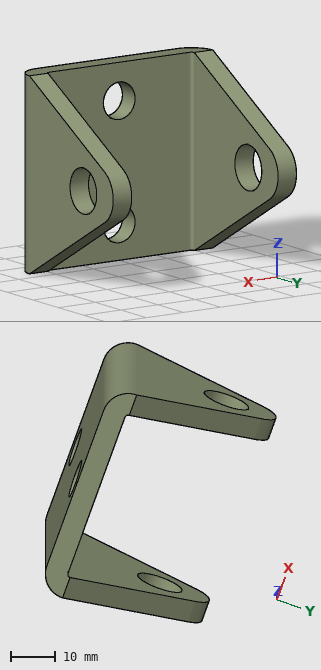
import cadquery as cq
import math

WIDTH = 49.45
DEPTH = 38.65
HEIGHT = 45.0

THICKNESS = 5.0
INNER_BEND_RADIUS = 0.75
OUTER_BEND_RADIUS = THICKNESS + INNER_BEND_RADIUS

TIP_RADIUS = 6.6
PIVOT_DIAMETER = 10.5
PIVOT_TO_TIP = 11.7

MOUNT_DIAMETER = 8.5
MOUNT_SPACING = 28.0
MOUNT_CENTER_Z = -0.25


def channel():
    """U-shaped channel, open toward +Y, with concentric inner and outer bends."""
    outer = (
        cq.Workplane("XY")
        .box(WIDTH, DEPTH, HEIGHT, centered=(True, False, True))
        .edges("|Z and <Y")
        .fillet(OUTER_BEND_RADIUS)
    )
    inner = (
        cq.Workplane("XY")
        .box(WIDTH - 2 * THICKNESS, DEPTH, HEIGHT, centered=(True, False, True))
        .edges("|Z and <Y")
        .fillet(INNER_BEND_RADIUS)
        .translate((0, THICKNESS, 0))
    )
    return outer.cut(inner)


def ear_profile():
    """Side outline: full height over the bend, then tapering tangent to the rounded tip."""
    tip_center_y = DEPTH - TIP_RADIUS
    run = tip_center_y - OUTER_BEND_RADIUS
    rise = HEIGHT / 2
    taper = math.atan2(rise, run) - math.asin(TIP_RADIUS / math.hypot(run, rise))
    tangent_y = tip_center_y + TIP_RADIUS * math.sin(taper)
    tangent_z = TIP_RADIUS * math.cos(taper)
    return (
        cq.Workplane("YZ", origin=(-WIDTH / 2, 0, 0))
        .moveTo(0, -rise)
        .lineTo(OUTER_BEND_RADIUS, -rise)
        .lineTo(tangent_y, -tangent_z)
        .threePointArc((DEPTH, 0), (tangent_y, tangent_z))
        .lineTo(OUTER_BEND_RADIUS, rise)
        .lineTo(0, rise)
        .close()
        .extrude(WIDTH)
    )


def pivot_bore():
    """Cylinder along X through both ears."""
    return (
        cq.Workplane("YZ", origin=(-WIDTH / 2, DEPTH - PIVOT_TO_TIP, 0))
        .circle(PIVOT_DIAMETER / 2)
        .extrude(WIDTH)
    )


def mount_bores():
    """Two cylinders along Y through the back plate, one above the other."""
    return (
        cq.Workplane("XZ", origin=(0, 0, MOUNT_CENTER_Z))
        .rarray(0.5, MOUNT_SPACING, 1, 2)
        .circle(MOUNT_DIAMETER / 2)
        .extrude(-THICKNESS)
    )


bracket = channel().intersect(ear_profile()).cut(pivot_bore()).cut(mount_bores())

result = cq.Compound.makeCompound([bracket.val()])